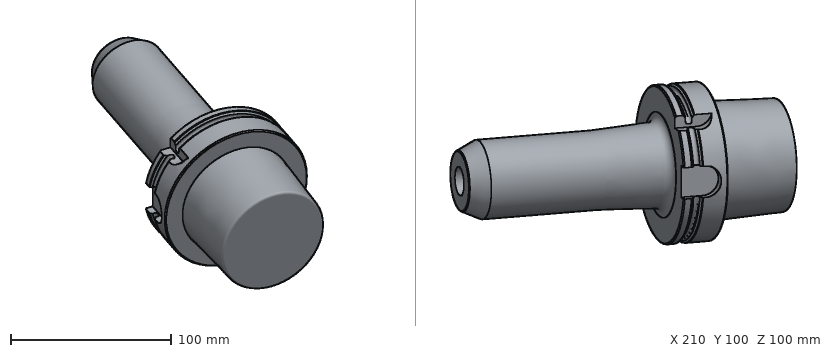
import cadquery as cq
import math

total_length = 210.0
taper_length = 50.0
flange_width = 29.0
nose_length = 12.8
cylinder_end = 87.5

flange_back = total_length - taper_length
flange_front = flange_back - flange_width

flange_radius = 100.0 / 2
shank_radius = 50.0 / 2
cone_radius = 54.0 / 2
nose_radius = 19.3
nose_chamfer = 0.6
taper_large_radius = 37.8
taper_small_radius = 35.7
taper_end_round = 1.7
root_fillet = 5.0
cone_land = 1.3
recess_radius = 33.2
recess_depth = 0.2
flange_chamfer = 0.8

groove_setback = 20.0
groove_center = flange_back - groove_setback
groove_floor_radius = 45.8
groove_width = 4.2
groove_floor_fillet = 1.36
groove_bevel_width = 1.3
groove_bevel_bottom_radius = 48.5
groove_lip_width = 0.52
groove_lip_depth = 0.2

bore_diameter = 18.0
bore_depth = 42.0

slot_end = 155.5
slot_corner_radius = 10.0
slot_floor = 43.9
near_slot_width = 2 * slot_corner_radius
far_slot_width = 22.0
notch_floor = 31.3
notch_center_z = notch_floor + slot_corner_radius


def turned_body():
    """Shank, flange and taper revolved about the X axis."""
    recess_face = flange_front + recess_depth
    fillet_start = recess_face - root_fillet
    fillet_center_radius = cone_radius + root_fillet
    fillet_middle = (
        recess_face - root_fillet * (1 - math.sin(math.pi / 4)),
        fillet_center_radius - root_fillet * math.cos(math.pi / 4),
    )
    profile = (
        cq.Workplane("XY")
        .lineTo(0, nose_radius - nose_chamfer)
        .lineTo(nose_chamfer, nose_radius)
        .lineTo(nose_length, shank_radius)
        .lineTo(cylinder_end, shank_radius)
        .lineTo(fillet_start - cone_land, cone_radius)
        .lineTo(fillet_start, cone_radius)
        .threePointArc(fillet_middle, (recess_face, fillet_center_radius))
        .lineTo(recess_face, recess_radius)
        .lineTo(flange_front, recess_radius)
        .lineTo(flange_front, flange_radius - flange_chamfer)
        .lineTo(flange_front + flange_chamfer, flange_radius)
        .lineTo(flange_back - flange_chamfer, flange_radius)
        .lineTo(flange_back, flange_radius - flange_chamfer)
        .lineTo(flange_back, taper_large_radius)
        .lineTo(total_length, taper_small_radius)
        .lineTo(total_length, 0)
        .close()
    )
    body = profile.revolve(360, (0, 0, 0), (1, 0, 0))
    return body.faces(">X").edges().fillet(taper_end_round)


def gripper_groove():
    """Ring with a filleted floor, straight walls, wide bevels and eased lips."""
    half_wall = groove_width / 2
    half_bevel = half_wall + groove_bevel_width
    half_lip = half_bevel + groove_lip_width
    lip_bottom_radius = flange_radius - groove_lip_depth
    ring = (
        cq.Workplane("XY")
        .polyline([
            (groove_center - half_wall, groove_floor_radius),
            (groove_center + half_wall, groove_floor_radius),
            (groove_center + half_wall, groove_bevel_bottom_radius),
            (groove_center + half_bevel, lip_bottom_radius),
            (groove_center + half_lip, flange_radius),
            (groove_center - half_lip, flange_radius),
            (groove_center - half_bevel, lip_bottom_radius),
            (groove_center - half_wall, groove_bevel_bottom_radius),
        ])
        .close()
        .revolve(360, (0, 0, 0), (1, 0, 0))
    )
    floor_edges = cq.selectors.RadiusNthSelector(0)
    return ring.edges(floor_edges).fillet(groove_floor_fillet)


def side_slot(width, floor, center_z, side):
    """Slot with rounded end corners, cut outwards from the floor along side * Y."""
    arc_center_x = slot_end - slot_corner_radius
    arc_center_offset = width / 2 - slot_corner_radius
    slot_depth = flange_radius - floor

    def block(length, height):
        return (
            cq.Workplane("XY")
            .box(length, slot_depth, height)
            .translate((flange_front + length / 2, side * (floor + slot_depth / 2), center_z))
        )

    slot = block(arc_center_x - flange_front, width)
    for offset in (-arc_center_offset, arc_center_offset):
        slot = slot.union(
            cq.Workplane("XZ", origin=(0, side * floor, 0))
            .center(arc_center_x, center_z + offset)
            .circle(slot_corner_radius)
            .extrude(-side * slot_depth)
        )
    if arc_center_offset > 0:
        slot = slot.union(block(slot_end - flange_front, 2 * arc_center_offset))
    return slot


def coolant_bore():
    return cq.Workplane("YZ").circle(bore_diameter / 2).extrude(bore_depth)


result = (
    turned_body()
    .cut(gripper_groove())
    .cut(side_slot(near_slot_width, slot_floor, 0, -1))
    .cut(side_slot(far_slot_width, slot_floor, 0, 1))
    .cut(side_slot(near_slot_width, notch_floor, notch_center_z, -1))
    .cut(coolant_bore())
)